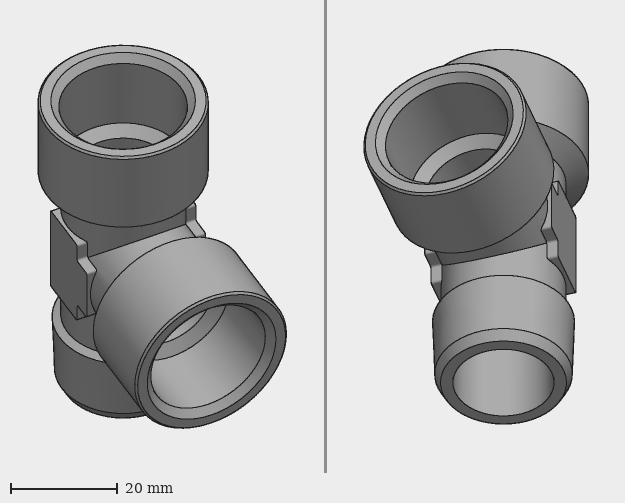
import cadquery as cq

run_length = 69.5
branch_height = 33.0
branch_reach = 36.5

body_radius = 23.5 / 2
bore_radius = 19.0 / 2

socket_outer_radius = 32.0 / 2
socket_bore_radius = 24.1 / 2
socket_length = 17.5
shoulder_length = 2.5
mouth_edge_chamfer = 0.4
countersink_radius = 13.55
countersink_depth = 1.45
socket_bore_depth = 16.5
bore_cone_length = 1.5

spigot_tip_radius = 11.8
spigot_small_radius = 12.9
spigot_large_radius = 13.35
spigot_tip_height = 2.15
spigot_taper_top = 15.1
spigot_top = 15.9

pad_half_thickness = 12.5
pad_half_width = 5.55
pad_half_height = 9.5
pad_tab_reach = 9.5
pad_tab_half_height = 5.55
pad_corner_radius = 0.5


def socketed_pipe(length):
    """Solid pipe along Z from the origin, with a socket envelope at its far end."""
    shoulder_top = length - socket_length
    outline = [
        (0, 0),
        (body_radius, 0),
        (body_radius, shoulder_top - shoulder_length),
        (socket_outer_radius, shoulder_top),
        (socket_outer_radius, length - mouth_edge_chamfer),
        (socket_outer_radius - mouth_edge_chamfer, length),
        (0, length),
    ]
    return cq.Workplane("XZ").polyline(outline).close().revolve(360, (0, 0), (0, 1))


def socket_cavity(length):
    """Bore along Z from the origin, opening into a countersunk socket."""
    socket_floor = length - socket_bore_depth
    outline = [
        (0, 0),
        (bore_radius, 0),
        (bore_radius, socket_floor - bore_cone_length),
        (socket_bore_radius, socket_floor),
        (socket_bore_radius, length - countersink_depth),
        (countersink_radius, length),
        (0, length),
    ]
    return cq.Workplane("XZ").polyline(outline).close().revolve(360, (0, 0), (0, 1))


def spigot():
    """Tapered male end with a bevelled tip and a bevel back to the body."""
    outline = [
        (0, 0),
        (spigot_tip_radius, 0),
        (spigot_small_radius, spigot_tip_height),
        (spigot_large_radius, spigot_taper_top),
        (body_radius, spigot_top),
        (0, spigot_top),
    ]
    return cq.Workplane("XZ").polyline(outline).close().revolve(360, (0, 0), (0, 1))


def flat_pads():
    """T-shaped block whose front and back faces form the two pads."""
    outline = [
        (-pad_half_width, -pad_half_height),
        (pad_half_width, -pad_half_height),
        (pad_half_width, -pad_tab_half_height),
        (pad_tab_reach, -pad_tab_half_height),
        (pad_tab_reach, pad_tab_half_height),
        (pad_half_width, pad_tab_half_height),
        (pad_half_width, pad_half_height),
        (-pad_half_width, pad_half_height),
    ]
    block = cq.Workplane("XZ").polyline(outline).close().extrude(pad_half_thickness, both=True)
    return block.edges("|Y").fillet(pad_corner_radius).translate((0, 0, branch_height))


def to_branch(shape):
    """Turn a shape built along Z onto the branch axis."""
    return shape.rotate((0, 0, 0), (0, 1, 0), 90).translate((0, 0, branch_height))


body = socketed_pipe(run_length).union(to_branch(socketed_pipe(branch_reach)))
body = body.union(spigot()).union(flat_pads())

result = body.cut(socket_cavity(run_length)).cut(to_branch(socket_cavity(branch_reach)))